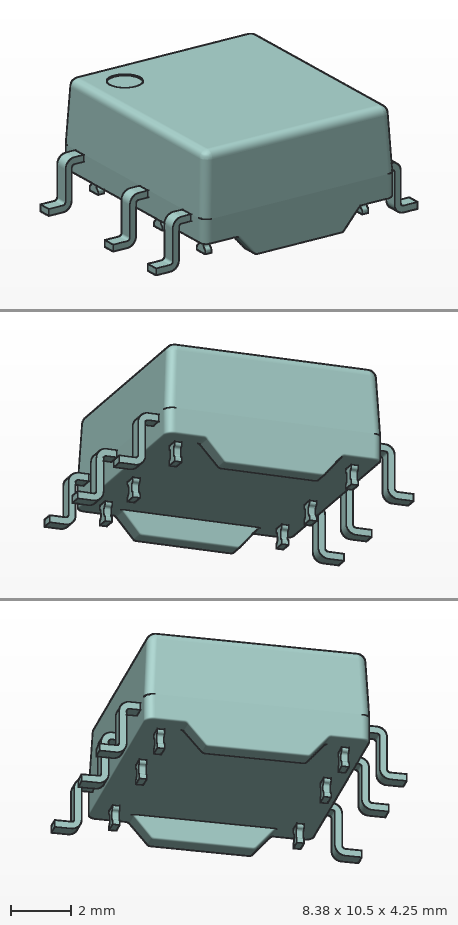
import cadquery as cq
import math

housing_x = 8.38
housing_y = 7.69
housing_top = 4.25
parting_z = 1.9
underside_z = 1.0
wall_draft = 3.0
housing_round = 0.3
bottom_round = 0.06

foot_bottom_z = 0.2
foot_root_width = 0.71
foot_inner_draft = 3.0
foot_root_length = 4.88
foot_tip_length = 3.5
foot_corner_round = 0.16
foot_rib = 0.42

mark_diameter = 1.2
mark_depth = 0.05
mark_x = -2.69
mark_y = -2.35

lead_span = 10.48
lead_width = 0.5
lead_thickness = 0.25
lead_top_z = 1.88
bend_radius = 0.23
lead_face_y = 4.57
post_y = 3.14
post_bottom_z = 0.3
grid = 1.27
lead_places = [-2.5 * grid, 0.5 * grid, 2.5 * grid]

neck_radius = 0.1
neck_turn = 60.0
neck_bottom_z = 0.41
neck_height = 0.52


def make_foot(side):
    """Foot flush with one X wall (side is -1 or 1); its upper rib lies inside the base."""
    inner_x = housing_x / 2 - foot_root_width
    lean = math.tan(math.radians(foot_inner_draft))
    rib_end = foot_root_length / 2 + foot_rib
    rib_top = underside_z + foot_rib

    outline = (
        cq.Workplane("YZ")
        .moveTo(-rib_end, rib_top)
        .lineTo(-rib_end, underside_z)
        .lineTo(-foot_root_length / 2, underside_z)
        .lineTo(-foot_tip_length / 2, foot_bottom_z)
        .lineTo(foot_tip_length / 2, foot_bottom_z)
        .lineTo(foot_root_length / 2, underside_z)
        .lineTo(rib_end, underside_z)
        .lineTo(rib_end, rib_top)
        .close()
        .extrude(side * housing_x / 2)
    )
    bends = cq.selectors.BoxSelector(
        (-housing_x, -rib_end + foot_rib / 2, 0),
        (housing_x, rib_end - foot_rib / 2, rib_top - foot_rib / 2),
    )
    outline = outline.edges("|X").edges(bends).fillet(foot_corner_round)

    drafted_section = (
        cq.Workplane("XZ")
        .moveTo(side * (inner_x - foot_rib * lean), rib_top)
        .lineTo(side * housing_x / 2, rib_top)
        .lineTo(side * housing_x / 2, foot_bottom_z)
        .lineTo(side * (inner_x + (underside_z - foot_bottom_z) * lean), foot_bottom_z)
        .close()
        .extrude(rib_end, both=True)
    )
    inner_side = "<X" if side > 0 else ">X"
    foot = outline.intersect(drafted_section)
    return foot.faces("<Z").edges(inner_side).fillet(bottom_round)


def make_housing():
    """Upright base with two feet, under a drafted cover with a shallow round mark."""
    base = (
        cq.Workplane("XY", origin=(0, 0, underside_z))
        .rect(housing_x, housing_y)
        .extrude(parting_z - underside_z)
        .edges("|Z")
        .fillet(housing_round)
    )
    for side in (-1, 1):
        base = base.union(make_foot(side))
    base = base.faces("<Y").edges("<Z").fillet(bottom_round)

    cover = (
        cq.Workplane("XY", origin=(0, 0, parting_z))
        .rect(housing_x, housing_y)
        .extrude(housing_top - parting_z, taper=wall_draft)
        .edges("not #Z")
        .fillet(housing_round)
        .faces(">Z")
        .edges()
        .fillet(housing_round)
    )
    mark = (
        cq.Workplane("XY", origin=(mark_x, mark_y, housing_top - mark_depth))
        .circle(mark_diameter / 2)
        .extrude(mark_depth)
    )
    return base.union(cover).cut(mark)


def make_lead(x, side):
    """Flat strip at x, bent from a winding post to a foot that points to +Y or -Y (side)."""
    shoulder_z = lead_top_z - lead_thickness / 2
    upright_y = lead_face_y - lead_thickness / 2
    sole_z = lead_thickness / 2
    path = cq.Wire.makePolygon(
        [
            cq.Vector(x, side * post_y, post_bottom_z),
            cq.Vector(x, side * post_y, shoulder_z),
            cq.Vector(x, side * upright_y, shoulder_z),
            cq.Vector(x, side * upright_y, sole_z),
            cq.Vector(x, side * lead_span / 2, sole_z),
        ]
    )
    bends = path.Vertices()[1:-1]
    strip = (
        cq.Workplane("XY", origin=(x, side * post_y, post_bottom_z))
        .rect(lead_width, lead_thickness)
        .sweep(cq.Workplane(path.fillet2D(bend_radius, bends)))
    )
    for edge in (-1, 1):
        strip = strip.cut(make_neck(x, side, edge))
    return strip


def make_neck(x, side, edge):
    """Cutter for the smooth neck in one side (edge) of a winding post.

    Two opposite arcs lead in from the lip to the waist at the bottom;
    mirrored arcs lead out at the top.
    """
    lip_x = x + edge * lead_width / 2
    turn = math.radians(neck_turn)
    middle_z = neck_bottom_z + neck_height / 2
    arc_depth = neck_radius * (1 - math.cos(turn))
    arc_rise = neck_radius * math.sin(turn)
    half_depth = neck_radius * (1 - math.cos(turn / 2))
    half_rise = neck_radius * math.sin(turn / 2)

    def point(depth, rise, end):
        """Point at a depth from the lip and a rise from the lower (-1) or upper (1) end of the neck."""
        return (lip_x - edge * depth, middle_z + end * (neck_height / 2 - rise))

    return (
        cq.Workplane("XZ", origin=(0, side * post_y, 0))
        .moveTo(*point(0, 0, -1))
        .threePointArc(point(half_depth, half_rise, -1), point(arc_depth, arc_rise, -1))
        .threePointArc(
            point(2 * arc_depth - half_depth, 2 * arc_rise - half_rise, -1),
            point(2 * arc_depth, 2 * arc_rise, -1),
        )
        .lineTo(*point(2 * arc_depth, 2 * arc_rise, 1))
        .threePointArc(
            point(2 * arc_depth - half_depth, 2 * arc_rise - half_rise, 1),
            point(arc_depth, arc_rise, 1),
        )
        .threePointArc(point(half_depth, half_rise, 1), point(0, 0, 1))
        .close()
        .extrude(lead_thickness, both=True)
    )


leads = [make_lead(x, side) for x in lead_places for side in (-1, 1)]

housing = make_housing()
for lead in leads:
    housing = housing.cut(lead)

result = cq.Compound.makeCompound([housing.val(), *[lead.val() for lead in leads]])